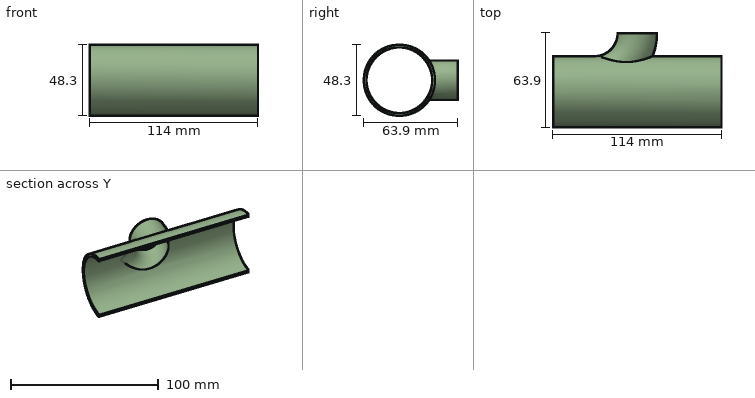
import cadquery as cq

tube_length = 114.0
tube_outer_diameter = 48.3
tube_bore_diameter = 44.3
wall = (tube_outer_diameter - tube_bore_diameter) / 2

branch_outer_diameter = 26.9
branch_bore_diameter = branch_outer_diameter - 2 * wall
branch_reach = 39.7
bend_radius = branch_reach - tube_outer_diameter / 2 + branch_outer_diameter / 2
elbow_angle = 90.0


def tube_cylinder(diameter):
    """Solid cylinder along X over the full tube length."""
    return cq.Workplane("YZ", origin=(-tube_length / 2, 0, 0)).circle(diameter / 2).extrude(tube_length)


def elbow(diameter):
    """Solid elbow from the mouth, facing +Y above the tube middle, bending towards -X."""
    mouth = cq.Workplane("XZ", origin=(0, branch_reach, 0)).circle(diameter / 2)
    return mouth.revolve(elbow_angle, (-bend_radius, 1.1, 0), (-bend_radius, -1.1, 0))


outer_body = tube_cylinder(tube_outer_diameter).union(elbow(branch_outer_diameter))
result = outer_body.cut(tube_cylinder(tube_bore_diameter)).cut(elbow(branch_bore_diameter))